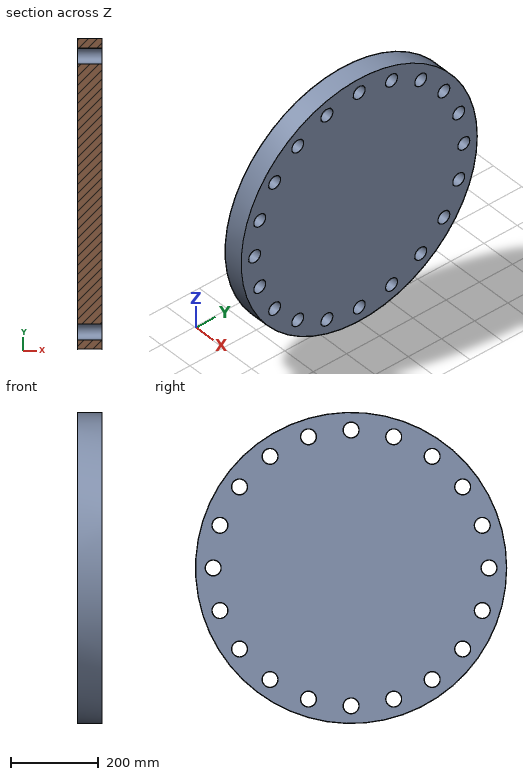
import cadquery as cq

flange_diameter = 711.0
flange_thickness = 57.0

bolt_count = 20
bolt_circle_diameter = 630.0
bolt_hole_diameter = 35.5

disc = cq.Workplane("YZ").circle(flange_diameter / 2).extrude(flange_thickness)

bolt_holes = (
    cq.Workplane("YZ")
    .polarArray(bolt_circle_diameter / 2, 0, 360, bolt_count)
    .circle(bolt_hole_diameter / 2)
    .extrude(flange_thickness)
)

result = disc.cut(bolt_holes)